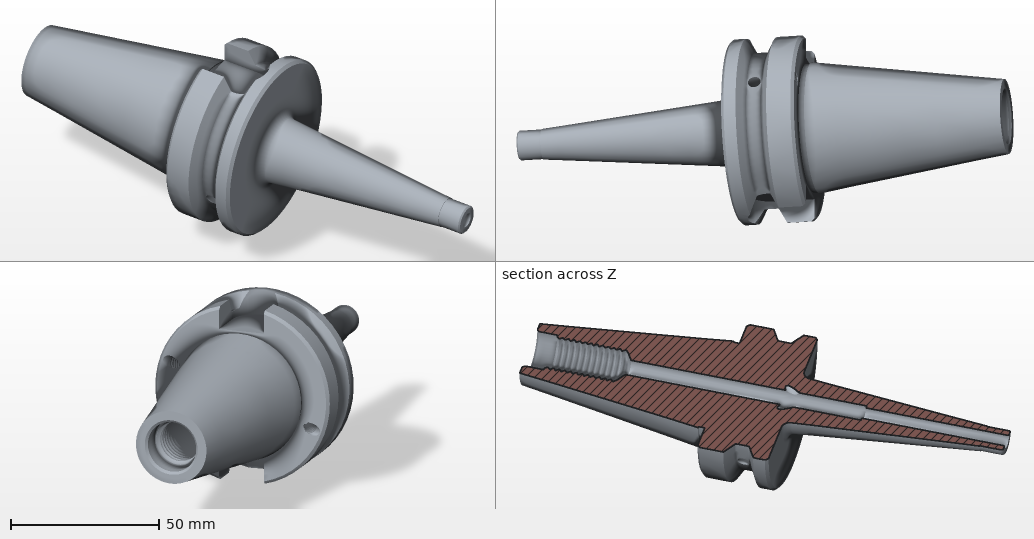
import cadquery as cq
import math

total_length = 167.4

taper_length = 65.5
taper_small_radius = 12.7
taper_ratio = 7 / 24
taper_large_radius = taper_small_radius + taper_length * taper_ratio / 2

flange_start = 67.5
flange_width = 25.0
flange_end = flange_start + flange_width
flange_radius = 31.5
flange_chamfer = 1.0
relief_radius = 21.8

groove_center = 82.0
groove_radius = 26.5
groove_floor_half = 2.3
groove_flank_angle = 30.0
groove_flank_run = (flange_radius - groove_radius) * math.tan(math.radians(groove_flank_angle))
groove_rim_half = groove_floor_half + groove_flank_run
groove_corner_radius = 0.5

neck_start = 95.0
neck_start_radius = 11.4
neck_end_radius = 5.2
neck_fillet = 2.8
nose_start = 159.2
nose_radius = 5.0
nose_chamfer = 0.5

slot_width = 16.0
slot_floor = 22.6
slot_end = 88.7

bore_radius = 8.7
bore_mouth_radius = 9.5
bore_depth = 7.4
thread_minor_radius = 7.0
thread_major_radius = 8.0
thread_pitch = 2.0
thread_turns = 12
drill_cone_angle = 59.0
middle_bore_radius = 3.5
middle_bore_end = 117.2
through_radius = 2.5

side_hole_angle = 20.0
side_mouth_radius = 2.2
side_mouth_depth = 5.0
side_hole_radius = 2.0

coolant_minor_radius = 2.0
coolant_major_radius = 2.3
coolant_pitch = 0.8
coolant_turns = 8
coolant_thread_start = 1.0
coolant_entry_radius = 27.1
coolant_tilt = 45.0
drill_overrun = 3.3

edge_tolerance = 0.02


def thread_points(start, minor_radius, major_radius, pitch, turns):
    """Outline points (x, radius) of a thread simplified to equal V-shaped rings."""
    points = [(start, minor_radius)]
    for turn in range(turns):
        points.append((start + (turn + 0.5) * pitch, major_radius))
        points.append((start + (turn + 1) * pitch, minor_radius))
    return points


def revolve_about_x(outline):
    """Solid of revolution about the X axis from (x, radius) points."""
    return cq.Workplane("XZ").polyline(outline).close().revolve(360, (0, 0, 0), (1, 0, 0))


def make_body():
    """Revolved outside: taper, relief, grooved flange, slender neck and nose."""
    neck_slope = (neck_start_radius - neck_end_radius) / (nose_start - neck_start)
    neck_root_radius = neck_start_radius + neck_slope * (neck_start - flange_end)
    outline = [
        (0, 0),
        (0, taper_small_radius),
        (taper_length, taper_large_radius),
        (taper_length, relief_radius),
        (flange_start, relief_radius),
        (flange_start, flange_radius - flange_chamfer),
        (flange_start + flange_chamfer, flange_radius),
        (groove_center - groove_rim_half, flange_radius),
        (groove_center - groove_floor_half, groove_radius),
        (groove_center + groove_floor_half, groove_radius),
        (groove_center + groove_rim_half, flange_radius),
        (flange_end - flange_chamfer, flange_radius),
        (flange_end, flange_radius - flange_chamfer),
        (flange_end, neck_root_radius),
        (nose_start, neck_end_radius),
        (nose_start, nose_radius),
        (total_length - nose_chamfer, nose_radius),
        (total_length, nose_radius - nose_chamfer),
        (total_length, 0),
    ]
    body = revolve_about_x(outline)

    def circle_at(x, radius):
        """Select the circular edges of the given radius around the X axis at x."""
        at_x = cq.selectors.BoxSelector(
            (x - edge_tolerance, -total_length, -total_length),
            (x + edge_tolerance, total_length, total_length),
        )
        circles = body.edges("%CIRCLE").edges(at_x)
        return circles.filter(lambda edge: abs(edge.radius() - radius) < edge_tolerance)

    body = circle_at(flange_end, neck_root_radius).fillet(neck_fillet)
    for side in (-1, 1):
        body = circle_at(groove_center + side * groove_floor_half, groove_radius).fillet(groove_corner_radius)
    return body


def make_bore():
    """Stepped bore: chamfered mouth, countersunk thread with drill point, then two coaxial holes."""
    mouth_depth = bore_mouth_radius - bore_radius
    thread_start = bore_depth + thread_major_radius - thread_minor_radius
    thread_end = thread_start + thread_turns * thread_pitch
    cone_length = (thread_minor_radius - middle_bore_radius) / math.tan(math.radians(drill_cone_angle))
    outline = [
        (0, 0),
        (0, bore_mouth_radius),
        (mouth_depth, bore_radius),
        (bore_depth, bore_radius),
        (bore_depth, thread_major_radius),
        *thread_points(thread_start, thread_minor_radius, thread_major_radius, thread_pitch, thread_turns),
        (thread_end + cone_length, middle_bore_radius),
        (middle_bore_end, middle_bore_radius),
        (middle_bore_end, through_radius),
        (total_length, through_radius),
        (total_length, 0),
    ]
    return revolve_about_x(outline)


def make_drive_slot():
    """Round-ended drive slot on the +Z side, open toward the taper."""
    half_width = slot_width / 2
    arc_start = slot_end - half_width
    return (
        cq.Workplane("XY")
        .workplane(offset=slot_floor)
        .moveTo(taper_length, -half_width)
        .lineTo(arc_start, -half_width)
        .threePointArc((slot_end, 0), (arc_start, half_width))
        .lineTo(taper_length, half_width)
        .close()
        .extrude(flange_radius)
    )


def make_side_hole():
    """Stepped radial hole along +Y in the groove floor, reaching down to the tilted coolant hole."""
    depth_at_coolant = (groove_center - flange_start) * math.tan(math.radians(coolant_tilt))
    bottom = coolant_entry_radius - depth_at_coolant
    step = groove_radius - side_mouth_depth

    def cylinder(radius, low):
        base = cq.Vector(groove_center, low, 0)
        return cq.Workplane(obj=cq.Solid.makeCylinder(radius, flange_radius - low, base, cq.Vector(0, 1, 0)))

    return cylinder(side_mouth_radius, step).union(cylinder(side_hole_radius, bottom))


def make_coolant_hole():
    """Hole from the flange face, tilted inward to the central bore, threaded below a plain mouth."""
    length = coolant_entry_radius / math.sin(math.radians(coolant_tilt))
    outline = [
        (-drill_overrun, 0),
        (-drill_overrun, coolant_minor_radius),
        *thread_points(
            coolant_thread_start, coolant_minor_radius, coolant_major_radius, coolant_pitch, coolant_turns
        ),
        (length, coolant_minor_radius),
        (length, 0),
    ]
    tilted = revolve_about_x(outline).rotate((0, 0, 0), (0, 0, 1), -coolant_tilt)
    return tilted.translate((flange_start, coolant_entry_radius, 0))


result = make_body().cut(make_bore())
for turn in (0, 180):
    result = result.cut(make_drive_slot().rotate((0, 0, 0), (1, 0, 0), turn))
    for hole in (make_side_hole(), make_coolant_hole()):
        result = result.cut(hole.rotate((0, 0, 0), (1, 0, 0), side_hole_angle + turn))